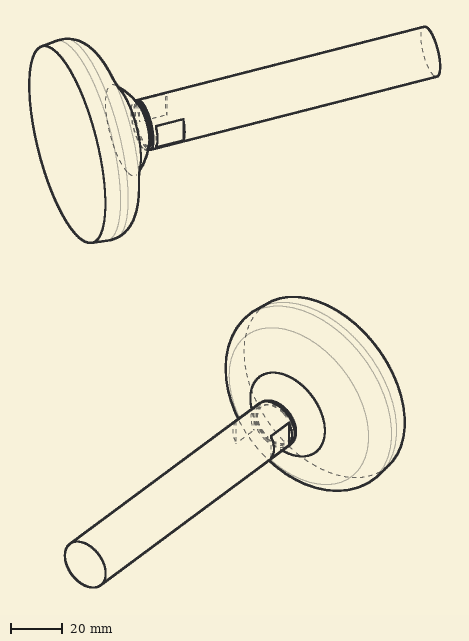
import cadquery as cq
import math

total_length = 151.5

foot_radius = 40.0
sole_radius = 39.2
rim_bottom = 6.0
rim_top = 9.2
shoulder_radius = 9.1
flank_angle = math.radians(20)
seat_radius = 18.2
seat_height = 23.3

dome_radius = 22.7
dome_top_radius = 9.4
lip_radius = 9.8
lip_rise = 0.3
lip_taper_height = 0.6

rod_radius = 10.0
neck_radius = 8.5
neck_height = 0.6
collar_thickness = 1.7
flat_length = 11.4
flat_offset = 8.5

shoulder_center = (foot_radius - shoulder_radius, (rim_bottom + rim_top) / 2)
rim_angle = math.asin((rim_top - rim_bottom) / 2 / shoulder_radius)
flank_start_angle = math.pi / 2 - flank_angle

dome_center = seat_height - math.sqrt(dome_radius**2 - seat_radius**2)
dome_top = dome_center + math.sqrt(dome_radius**2 - dome_top_radius**2)
lip_edge = dome_top + lip_rise
lip_top = lip_edge + lip_taper_height
rod_bottom = lip_top + neck_height
flat_bottom = rod_bottom + collar_thickness


def arc_point(center, radius, angle):
    """Point of a profile arc at the given angle above the radial direction."""
    return (center[0] + radius * math.cos(angle), center[1] + radius * math.sin(angle))


def revolve_about_y(profile):
    return profile.close().revolve(360, (0, 0, 0), (0, 1, 0))


def make_foot():
    def shoulder_point(angle):
        return arc_point(shoulder_center, shoulder_radius, angle)

    return revolve_about_y(
        cq.Workplane("XY")
        .lineTo(sole_radius, 0)
        .lineTo(*shoulder_point(-rim_angle))
        .threePointArc(shoulder_point(0), shoulder_point(rim_angle))
        .threePointArc(
            shoulder_point((rim_angle + flank_start_angle) / 2), shoulder_point(flank_start_angle)
        )
        .tangentArcPoint((seat_radius, seat_height), relative=False)
        .lineTo(0, seat_height)
    )


def make_spindle_blank():
    dome_start_angle = math.acos(seat_radius / dome_radius)
    dome_end_angle = math.acos(dome_top_radius / dome_radius)
    dome_middle = arc_point((0, dome_center), dome_radius, (dome_start_angle + dome_end_angle) / 2)
    return revolve_about_y(
        cq.Workplane("XY")
        .moveTo(0, seat_height)
        .lineTo(seat_radius, seat_height)
        .threePointArc(dome_middle, (dome_top_radius, dome_top))
        .lineTo(lip_radius, lip_edge)
        .lineTo(neck_radius, lip_top)
        .lineTo(neck_radius, rod_bottom)
        .lineTo(rod_radius, rod_bottom)
        .lineTo(rod_radius, total_length)
        .lineTo(0, total_length)
    )


def cut_wrench_flats(blank):
    """Cut two opposite flats, facing -X and +X, just above the collar."""
    cutter_depth = rod_radius
    for side in (-1, 1):
        cutter = cq.Workplane("XY").box(cutter_depth, flat_length, 2 * rod_radius).translate(
            (side * (flat_offset + cutter_depth / 2), flat_bottom + flat_length / 2, 0)
        )
        blank = blank.cut(cutter)
    return blank


foot = make_foot()
spindle = cut_wrench_flats(make_spindle_blank())

result = cq.Compound.makeCompound([foot.val(), spindle.val()])